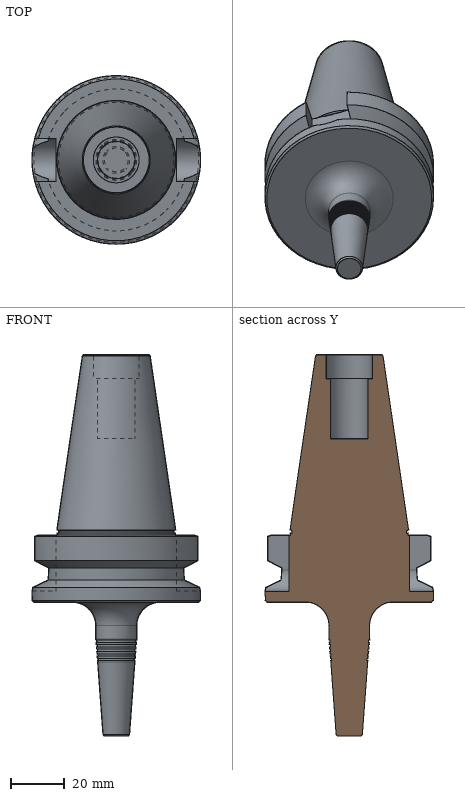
import cadquery as cq
import math

total_height = 142.4

gauge_height = 77.0
gauge_radius = 22.2
taper_ratio = 7 / 24
taper_length = total_height - gauge_height
taper_top_radius = gauge_radius - taper_length * taper_ratio / 2
taper_top_chamfer = 0.4
taper_lip = 0.4
relief_radius = 21.5
collar_radius = 22.1
collar_height = 0.7

flange_radius = 31.5
flange_top = 75.0
flange_bottom = 50.0
flange_top_chamfer = (1.3, 0.4)
flange_bottom_chamfer = 0.7
groove_floor_radius = 26.5
groove_top = 65.5
groove_bottom = 55.5
groove_flank_height = 2.7

slot_width = 16.0
slot_floor = 22.5
slot_tip_height = 54.1

neck_radius = 7.7
root_radius = 8.7
neck_end = 36.3
nose_shoulder_height = 27.8
nose_shoulder_radius = 7.0
nose_tip_radius = 5.0
nose_tip_chamfer = 0.5

ring_count = 5
ring_pitch = (neck_end - nose_shoulder_height) / ring_count
ring_width = ring_pitch / 2
ring_depth = 0.3

pilot_radius = 8.5
pilot_depth = 9.0
thread_radius = 7.0
thread_depth = 31.3


def turned_body():
    root_start = flange_bottom - root_radius
    arc_offset = root_radius * math.sqrt(0.5)
    root_middle = (neck_radius + root_radius - arc_offset, root_start + arc_offset)
    top_chamfer_width, top_chamfer_height = flange_top_chamfer
    profile = (
        cq.Workplane("XZ")
        .moveTo(0, 0)
        .lineTo(nose_tip_radius - nose_tip_chamfer, 0)
        .lineTo(nose_tip_radius, nose_tip_chamfer)
        .lineTo(nose_shoulder_radius, nose_shoulder_height)
        .lineTo(neck_radius, neck_end)
        .lineTo(neck_radius, root_start)
        .threePointArc(root_middle, (neck_radius + root_radius, flange_bottom))
        .lineTo(flange_radius - flange_bottom_chamfer, flange_bottom)
        .lineTo(flange_radius, flange_bottom + flange_bottom_chamfer)
        .lineTo(flange_radius, groove_bottom)
        .lineTo(groove_floor_radius, groove_bottom + groove_flank_height)
        .lineTo(groove_floor_radius, groove_top - groove_flank_height)
        .lineTo(flange_radius, groove_top)
        .lineTo(flange_radius, flange_top - top_chamfer_height)
        .lineTo(flange_radius - top_chamfer_width, flange_top)
        .lineTo(collar_radius, flange_top)
        .lineTo(collar_radius, flange_top + collar_height)
        .lineTo(relief_radius, flange_top + collar_height)
        .lineTo(relief_radius, gauge_height - taper_lip)
        .lineTo(gauge_radius, gauge_height)
        .lineTo(taper_top_radius, total_height - taper_top_chamfer)
        .lineTo(taper_top_radius - taper_top_chamfer, total_height)
        .lineTo(0, total_height)
        .close()
    )
    return profile.revolve(360, (0, 0, 0), (0, 1, 0))


def drive_slot(side):
    """Cutter for a round-bottomed slot, open at the top and at the rim; side is +1 or -1."""
    half_width = slot_width / 2
    arc_center_height = slot_tip_height + half_width
    return (
        cq.Workplane("YZ", origin=(side * slot_floor, 0, 0))
        .moveTo(-half_width, flange_top)
        .lineTo(-half_width, arc_center_height)
        .threePointArc((0, slot_tip_height), (half_width, arc_center_height))
        .lineTo(half_width, flange_top)
        .close()
        .extrude(side * flange_radius)
    )


def ring_groove(index):
    """Cutter for one shallow ring, counted downward from the end of the straight neck."""
    middle_height = neck_end - (index + 0.5) * ring_pitch
    fraction = (neck_end - middle_height) / (neck_end - nose_shoulder_height)
    surface_radius = neck_radius + fraction * (nose_shoulder_radius - neck_radius)
    return (
        cq.Workplane("XY", origin=(0, 0, middle_height - ring_width / 2))
        .circle(2 * neck_radius)
        .circle(surface_radius - ring_depth)
        .extrude(ring_width)
    )


def stud_hole():
    top_plane = cq.Workplane("XY", origin=(0, 0, total_height))
    pilot = top_plane.circle(pilot_radius).extrude(-pilot_depth)
    thread_bore = top_plane.circle(thread_radius).extrude(-thread_depth)
    return pilot.union(thread_bore)


result = turned_body().cut(stud_hole())
for slot_side in (-1, 1):
    result = result.cut(drive_slot(slot_side))
for ring_index in range(ring_count):
    result = result.cut(ring_groove(ring_index))